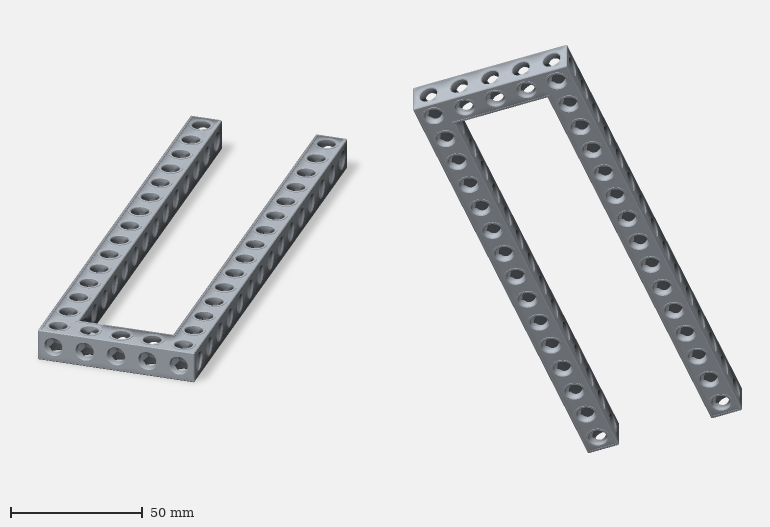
import cadquery as cq

LENGTH = 187.5
HOLES_ALONG = 15
HOLES_ACROSS = 5
HOLE_DIAMETER = 7.0
RING_DIAMETER = 9.2
EDGE_CHAMFER = 0.3
RIM_WIDTH = 1.09
RECESS_DEPTH = 0.2

pitch = LENGTH / HOLES_ALONG
width = HOLES_ACROSS * pitch
last_column = HOLES_ACROSS - 1
mid_height = pitch / 2

X_AXIS = cq.Vector(1, 0, 0)
Y_AXIS = cq.Vector(0, 1, 0)
Z_AXIS = cq.Vector(0, 0, 1)


def cell_center(index):
    """Distance from the part's corner to the middle of a grid cell."""
    return (index + 0.5) * pitch


arm_cells = [(column, row) for column in (0, last_column) for row in range(HOLES_ALONG)]
base_cells = [(column, 0) for column in range(1, last_column)]
hole_centers = [(cell_center(column), cell_center(row)) for column, row in arm_cells + base_cells]


def u_plate(inset, bottom, height):
    """U outline, open toward +Y and shrunk inward by inset, extruded upward from bottom."""
    near = inset
    far = pitch - inset
    end = LENGTH - inset
    outline = [
        (near, near), (width - near, near), (width - near, end), (width - far, end),
        (width - far, far), (far, far), (far, end), (near, end),
    ]
    return cq.Workplane("XY").workplane(offset=bottom).polyline(outline).close().extrude(height)


def chamfered_frame():
    """Full-height U with the top and bottom rims and all outer upright corners chamfered."""
    frame = u_plate(0, 0, pitch)
    rims = frame.faces("|Z").edges()
    base_corners = frame.faces("<Y").edges("|Z")
    arm_corners = frame.faces(">Y").edges("|Z")
    return rims.add(base_corners).add(arm_corners).chamfer(EDGE_CHAMFER)


def face_recess(bottom):
    """Shallow pocket that leaves a rim along the outline and a ring around every hole."""
    rings = (
        cq.Workplane("XY")
        .workplane(offset=bottom)
        .pushPoints(hole_centers)
        .circle(RING_DIAMETER / 2)
        .extrude(RECESS_DEPTH)
    )
    return u_plate(RIM_WIDTH, bottom, RECESS_DEPTH).cut(rings)


def hole_cutter(start, direction, depth):
    """Through-hole cutter with a small chamfer at both mouths."""
    radius = HOLE_DIAMETER / 2
    mouth = radius + EDGE_CHAMFER
    start = cq.Vector(*start)
    finish = start + direction * depth
    bore = cq.Solid.makeCylinder(radius, depth, start, direction)
    entry = cq.Solid.makeCone(mouth, radius, EDGE_CHAMFER, start, direction)
    leaving = cq.Solid.makeCone(mouth, radius, EDGE_CHAMFER, finish, direction * -1)
    return bore.fuse(entry, leaving)


def vertical_holes():
    """One hole along Z in every cell."""
    return [hole_cutter((x, y, 0), Z_AXIS, pitch) for x, y in hole_centers]


def arm_side_holes():
    """Holes along X through both arms; the first row runs the whole length of the base."""
    cutters = [hole_cutter((0, cell_center(0), mid_height), X_AXIS, width)]
    for row in range(1, HOLES_ALONG):
        for arm_side in (0, width - pitch):
            cutters.append(hole_cutter((arm_side, cell_center(row), mid_height), X_AXIS, pitch))
    return cutters


def base_side_holes():
    """Holes along Y through the base; the outer two run the whole length of the arms."""
    cutters = []
    for column in range(HOLES_ACROSS):
        in_arm = column in (0, last_column)
        depth = LENGTH if in_arm else pitch
        cutters.append(hole_cutter((cell_center(column), 0, mid_height), Y_AXIS, depth))
    return cutters


result = chamfered_frame()
for recess_bottom in (0, pitch - RECESS_DEPTH):
    result = result.cut(face_recess(recess_bottom))
for cutter in vertical_holes() + arm_side_holes() + base_side_holes():
    result = result.cut(cq.Workplane(cutter))